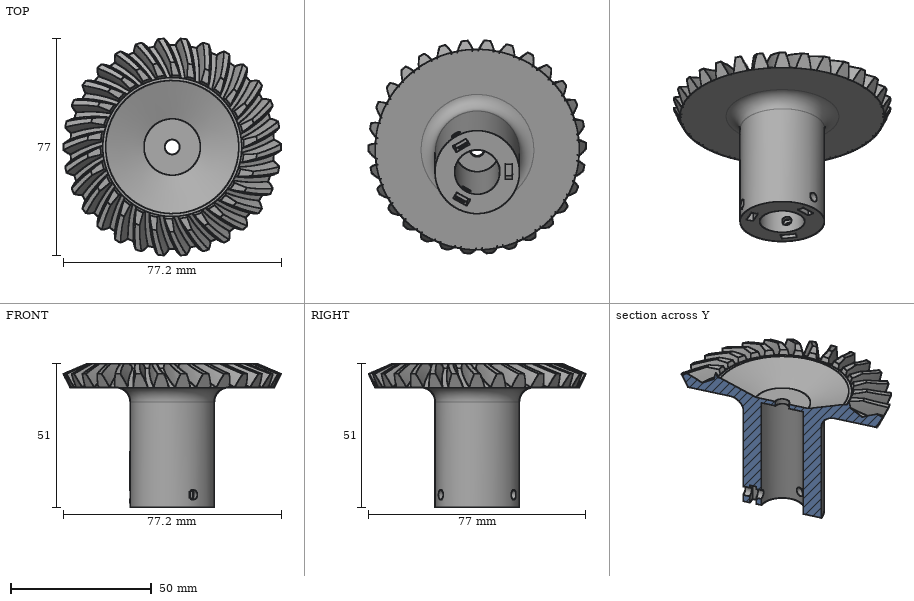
import cadquery as cq
import math

TOTAL_HEIGHT = 51.0

TOOTH_COUNT = 30
MATING_TOOTH_COUNT = 15
PITCH_DIAMETER = 75.0
GEAR_HEIGHT = 8.5
DEDENDUM_FACTOR = 7 / 6
FACE_WIDTH = 13.4
SPIRAL_TWIST = 28.2
TIP_HALF_ANGLE = 1.6
PITCH_HALF_ANGLE = 3.0
ROOT_HALF_ANGLE = 4.3

RIM_WIDTH = 1.0
DISH_FLOOR_DIAMETER = 20.0
WEB_THICKNESS = 2.0

HUB_DIAMETER = 30.0
HUB_FILLET = 5.0
BORE_DIAMETER = 16.0
SHAFT_HOLE_DIAMETER = 5.2

SCREW_COUNT = 3
FIRST_SCREW_ANGLE = 60.0
SCREW_HOLE_DIAMETER = 3.4
SCREW_HEIGHT = 4.5
NUT_WIDTH = 5.5
NUT_THICKNESS = 2.5
NUT_INNER_RADIUS = 10.0

module = PITCH_DIAMETER / TOOTH_COUNT
addendum = module
dedendum = DEDENDUM_FACTOR * module
pitch_radius = PITCH_DIAMETER / 2
pitch_angle = math.atan2(TOOTH_COUNT, MATING_TOOTH_COUNT)
back_r = math.cos(pitch_angle)
back_z = math.sin(pitch_angle)

gear_bottom = TOTAL_HEIGHT - GEAR_HEIGHT
pitch_z = gear_bottom + dedendum * back_z
apex_z = pitch_z + pitch_radius / math.tan(pitch_angle)
tip_radius = pitch_radius + addendum * back_r
tip_z = pitch_z + addendum * back_z
root_radius = pitch_radius - dedendum * back_r

inner_scale = 1 - FACE_WIDTH / math.hypot(root_radius, apex_z - gear_bottom)
rim_radius = root_radius * inner_scale
rim_z = apex_z - (apex_z - gear_bottom) * inner_scale
dish_radius = rim_radius - RIM_WIDTH
dish_floor_z = gear_bottom + WEB_THICKNESS


def gear_blank():
    """Hub, fillet, root cone and dish, revolved about Z."""
    hub_radius = HUB_DIAMETER / 2
    fillet_z = gear_bottom - HUB_FILLET
    fillet_mid = HUB_FILLET * (1 - math.sqrt(0.5))
    return (
        cq.Workplane("XZ")
        .lineTo(hub_radius, 0)
        .lineTo(hub_radius, fillet_z)
        .threePointArc(
            (hub_radius + fillet_mid, gear_bottom - fillet_mid),
            (hub_radius + HUB_FILLET, gear_bottom),
        )
        .lineTo(root_radius, gear_bottom)
        .lineTo(rim_radius, rim_z)
        .lineTo(dish_radius, rim_z)
        .lineTo(DISH_FLOOR_DIAMETER / 2, dish_floor_z)
        .lineTo(0, dish_floor_z)
        .close()
        .revolve(360, (0, 0), (0, 1))
    )


def tooth_envelope():
    """Ring bounded by the back, face and inner cones and by the flat top; it limits the teeth."""
    face_slope = tip_radius / (apex_z - tip_z)
    top_outer_radius = face_slope * (apex_z - TOTAL_HEIGHT)
    top_inner_radius = rim_radius + (TOTAL_HEIGHT - rim_z) * back_r / back_z
    return (
        cq.Workplane("XZ")
        .moveTo(root_radius, gear_bottom)
        .lineTo(tip_radius, tip_z)
        .lineTo(top_outer_radius, TOTAL_HEIGHT)
        .lineTo(top_inner_radius, TOTAL_HEIGHT)
        .lineTo(rim_radius, rim_z)
        .lineTo(rim_radius, gear_bottom)
        .close()
        .revolve(360, (0, 0), (0, 1))
    )


def tooth_section(scale):
    """Tooth outline normal to the pitch cone, shrunk towards the apex and turned by the spiral."""
    tip_half = tip_radius * math.radians(TIP_HALF_ANGLE)
    pitch_half = pitch_radius * math.radians(PITCH_HALF_ANGLE)
    root_half = root_radius * math.radians(ROOT_HALF_ANGLE)
    margin = 0.2 * module
    plane = cq.Plane(
        origin=(pitch_radius * scale, 0, apex_z - (apex_z - pitch_z) * scale),
        xDir=(0, 1, 0),
        normal=(back_z, 0, -back_r),
    )
    outline = [
        (-root_half, -dedendum - margin),
        (-root_half, -dedendum),
        (-pitch_half, 0),
        (-tip_half, addendum),
        (-tip_half, addendum + margin),
        (tip_half, addendum + margin),
        (tip_half, addendum),
        (pitch_half, 0),
        (root_half, -dedendum),
        (root_half, -dedendum - margin),
    ]
    points = [(x * scale, y * scale) for x, y in outline]
    wire = (
        cq.Workplane(plane)
        .moveTo(*points[0])
        .lineTo(*points[1])
        .threePointArc(points[2], points[3])
        .lineTo(*points[4])
        .lineTo(*points[5])
        .lineTo(*points[6])
        .threePointArc(points[7], points[8])
        .lineTo(*points[9])
        .close()
        .val()
    )
    return wire.rotate(cq.Vector(), cq.Vector(0, 0, 1), -SPIRAL_TWIST * (1 - scale))


def tooth():
    """One spiral tooth, lofted past both ends of the face and trimmed to the envelope."""
    section_count = 5
    overshoot = 0.04
    outer = 1 + overshoot
    step = (outer - inner_scale + overshoot) / (section_count - 1)
    sections = [tooth_section(outer - step * i) for i in range(section_count)]
    return cq.Workplane(cq.Solid.makeLoft(sections)).intersect(tooth_envelope())


def axial_hole(diameter, bottom, top):
    """Cylinder on the gear axis between two heights."""
    return cq.Workplane("XY", origin=(0, 0, bottom)).circle(diameter / 2).extrude(top - bottom)


def set_screw_cut():
    """Radial screw hole along +X, running well past the hub, with its nut slot."""
    hole = (
        cq.Workplane("YZ", origin=(0, 0, SCREW_HEIGHT))
        .circle(SCREW_HOLE_DIAMETER / 2)
        .extrude(HUB_DIAMETER)
    )
    slot_height = SCREW_HEIGHT + NUT_WIDTH / 2
    slot = cq.Workplane("XY", origin=(NUT_INNER_RADIUS, 0, 0)).box(
        NUT_THICKNESS, NUT_WIDTH, slot_height, centered=(False, True, False)
    )
    return hole.union(slot)


result = gear_blank()

single_tooth = tooth().val()
teeth = [
    single_tooth.rotate(cq.Vector(), cq.Vector(0, 0, 1), i * 360 / TOOTH_COUNT)
    for i in range(TOOTH_COUNT)
]
result = cq.Workplane(result.val().fuse(*teeth))

result = result.cut(axial_hole(BORE_DIAMETER, 0, gear_bottom))
result = result.cut(axial_hole(SHAFT_HOLE_DIAMETER, 0, TOTAL_HEIGHT))

screw_cut = set_screw_cut()
for i in range(SCREW_COUNT):
    angle = FIRST_SCREW_ANGLE + i * 360 / SCREW_COUNT
    result = result.cut(screw_cut.rotate((0, 0, 0), (0, 0, 1), angle))